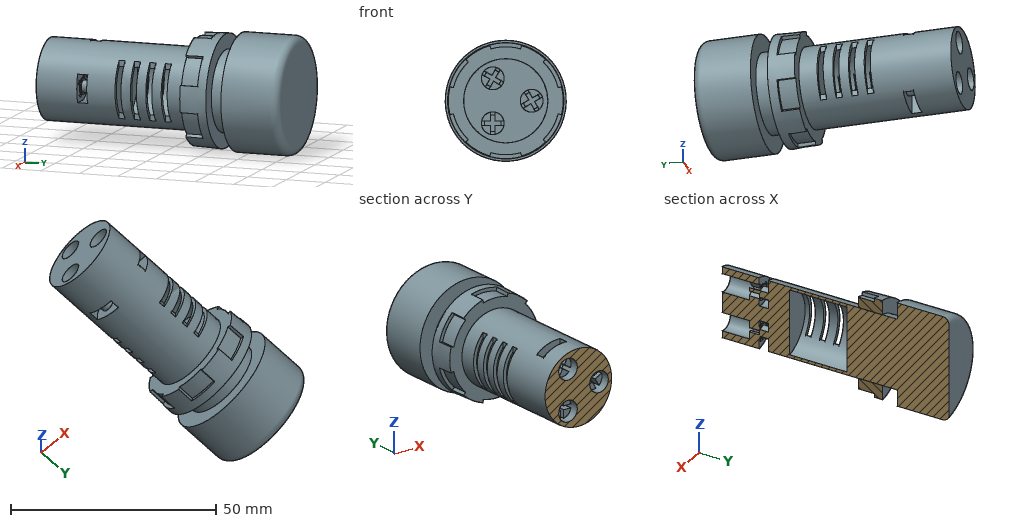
import cadquery as cq
import math

length = 64.4

head_radius = 14.75
head_start = 49.6
head_edge_radius = 2.0

barrel_radius = 10.25

vent_count = 4
vent_start = 20.5
vent_width = 1.55
vent_pitch = 4.0
vent_floor_x = 7.3
cavity_radius = 9.3
cavity_end_gap = 1.3
cavity_start = vent_start - cavity_end_gap
cavity_length = (vent_count - 1) * vent_pitch + vent_width + 2 * cavity_end_gap

terminal_count = 3
terminal_circle_radius = 6.3
terminal_radius = 2.8
screw_head_front = 7.7
screw_slot_width = 1.0
screw_neck_radius = 2.05
screw_neck_length = 0.3
screw_shank_radius = 1.55
pocket_start = 10.55
pocket_depth = 2.6
pocket_radius = 3.55
pocket_directions = (90, 0, -90)
terminal_step = 360 / terminal_count

nut_start = 38.65
nut_end = 45.45
nut_front_radius = 14.0
nut_back_radius = 14.2
notch_count = 6
notch_length = 4.5
notch_floor_radius = 13.15
notch_half_angle = 16.0
notch_first_angle = 30.0


def cylinder_along_y(radius, start, height, x=0.0, z=0.0):
    return cq.Workplane(cq.Solid.makeCylinder(radius, height, cq.Vector(x, start, z), cq.Vector(0, 1, 0)))


def turned_about_y(shape, angle, x=0.0, z=0.0):
    """Turn a shape by an angle from +X towards +Z about the line along Y through (x, z)."""
    return shape.rotate((x, 0, z), (x, 1, z), -angle)


def make_outer_shape():
    head = cylinder_along_y(head_radius, head_start, length - head_start)
    head = head.faces(">Y").edges().fillet(head_edge_radius)
    return cylinder_along_y(barrel_radius, 0, head_start).union(head)


def make_vents():
    """The round cavity together with the slots that open it on both sides."""
    vents = cylinder_along_y(cavity_radius, cavity_start, cavity_length)
    slot_depth = barrel_radius - vent_floor_x
    for index in range(vent_count):
        y = vent_start + index * vent_pitch + vent_width / 2
        for side in (-1, 1):
            slot = cq.Workplane("XY").box(slot_depth, vent_width, 2 * barrel_radius)
            vents = vents.union(slot.translate((side * (vent_floor_x + slot_depth / 2), y, 0)))
    return vents


def terminal_place(index):
    """Centre of a terminal; the first sits one step from +X towards +Z and the rest follow backwards."""
    angle = math.radians(terminal_step * (1 - index))
    return terminal_circle_radius * math.cos(angle), terminal_circle_radius * math.sin(angle)


def make_wire_pocket(x, z, direction):
    """A round-bottomed pocket around the screw, open outwards through the barrel wall."""
    mouth = cq.Workplane("XY").box(barrel_radius, pocket_depth, 2 * pocket_radius)
    mouth = mouth.translate((x + barrel_radius / 2, pocket_start + pocket_depth / 2, z))
    mouth = turned_about_y(mouth, direction, x, z)
    return cylinder_along_y(pocket_radius, pocket_start, pocket_depth, x, z).union(mouth)


def make_screw(x, z, slot_angle):
    head_length = pocket_start - screw_head_front
    head = cylinder_along_y(terminal_radius, screw_head_front, head_length, x, z)
    for angle in (slot_angle, slot_angle + 90):
        slot = cq.Workplane("XY").box(2 * terminal_radius, head_length, screw_slot_width)
        slot = slot.translate((x, screw_head_front + head_length / 2, z))
        head = head.cut(turned_about_y(slot, angle, x, z))
    neck = cylinder_along_y(screw_neck_radius, pocket_start, screw_neck_length, x, z)
    shank = cylinder_along_y(screw_shank_radius, pocket_start, pocket_depth, x, z)
    return head.union(neck).union(shank)


def make_lamp():
    """Head and barrel in one piece, with each screw carried by the back wall of its pocket."""
    lamp = make_outer_shape().cut(make_vents())
    for index, direction in enumerate(pocket_directions):
        x, z = terminal_place(index)
        lamp = lamp.cut(cylinder_along_y(terminal_radius, 0, pocket_start, x, z))
        lamp = lamp.cut(make_wire_pocket(x, z, direction))
        lamp = lamp.union(make_screw(x, z, terminal_step * (terminal_count - 1 - index)))
    return lamp


def make_notch(angle):
    """A sector outside the notch floor, swept along the front part of the nut."""
    reach = 2 * nut_back_radius
    half = math.radians(notch_half_angle)
    tip_x = reach * math.cos(half)
    tip_z = reach * math.sin(half)
    sector = cq.Workplane("XZ", origin=(0, nut_start, 0))
    sector = sector.polyline([(0, 0), (tip_x, -tip_z), (tip_x, tip_z)]).close().extrude(-notch_length)
    sector = sector.cut(cylinder_along_y(notch_floor_radius, nut_start, notch_length))
    return turned_about_y(sector, angle)


def make_nut():
    """A slightly tapered ring around the barrel, notched from its narrow end."""
    profile = cq.Workplane("XY").polyline([
        (barrel_radius, nut_start),
        (nut_front_radius, nut_start),
        (nut_back_radius, nut_end),
        (barrel_radius, nut_end),
    ]).close()
    nut = profile.revolve(360, (0, 0, 0), (0, 1, 0))
    for index in range(notch_count):
        nut = nut.cut(make_notch(notch_first_angle + index * 360 / notch_count))
    return nut


lamp = make_lamp()
nut = make_nut()

result = cq.Compound.makeCompound([lamp.solids().val(), nut.solids().val()])